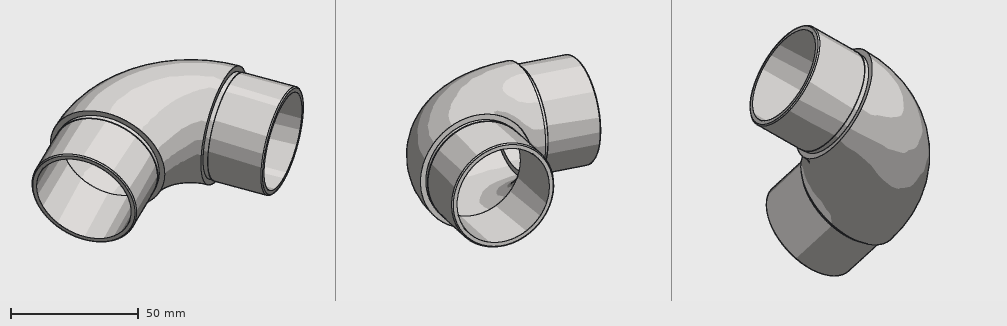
import cadquery as cq

overall_size = 84.15
body_diameter = 48.3
spigot_diameter = 44.2
neck_diameter = 43.7
spigot_bore = 39.9
bend_bore = 44.2

spigot_length = 25.0
neck_length = 2.0
insert_depth = 2.0
rim_chamfer = 0.5

bend_radius = overall_size - body_diameter / 2 - spigot_length
bend_angle = 90


def bend(diameter):
    """Solid quarter torus along the elbow centreline."""
    return (
        cq.Workplane("XZ")
        .circle(diameter / 2)
        .revolve(bend_angle, (bend_radius, 0), (bend_radius, -1))
    )


def end_plane(origin, direction):
    """Workplane on a shoulder of the body, facing out of the elbow."""
    return cq.Workplane(cq.Plane(origin=origin, xDir=(0, 0, 1), normal=direction))


def spigot(plane):
    """Pipe end with a relief neck at the shoulder and a chamfered rim."""
    neck = plane.circle(neck_diameter / 2).extrude(neck_length)
    sleeve = (
        plane.workplane(offset=neck_length)
        .circle(spigot_diameter / 2)
        .extrude(spigot_length - neck_length)
        .faces(cq.selectors.DirectionMinMaxSelector(plane.plane.zDir, True))
        .chamfer(rim_chamfer)
    )
    return neck.union(sleeve)


def spigot_bore_tool(plane):
    """Straight bore from the inner end of the spigot wall to the open end."""
    return (
        plane.workplane(offset=-insert_depth)
        .circle(spigot_bore / 2)
        .extrude(insert_depth + spigot_length)
    )


def insert_zone(plane):
    """Slice of the bend just inside the shoulder, filled by the spigot wall."""
    return plane.circle(body_diameter / 2).extrude(-insert_depth)


end_planes = [
    end_plane((0, 0, 0), (0, -1, 0)),
    end_plane((bend_radius, bend_radius, 0), (1, 0, 0)),
]

outside = bend(body_diameter)
cavity = bend(bend_bore)
for plane in end_planes:
    outside = outside.union(spigot(plane))
    cavity = cavity.cut(insert_zone(plane))

result = outside.cut(cavity)
for plane in end_planes:
    result = result.cut(spigot_bore_tool(plane))